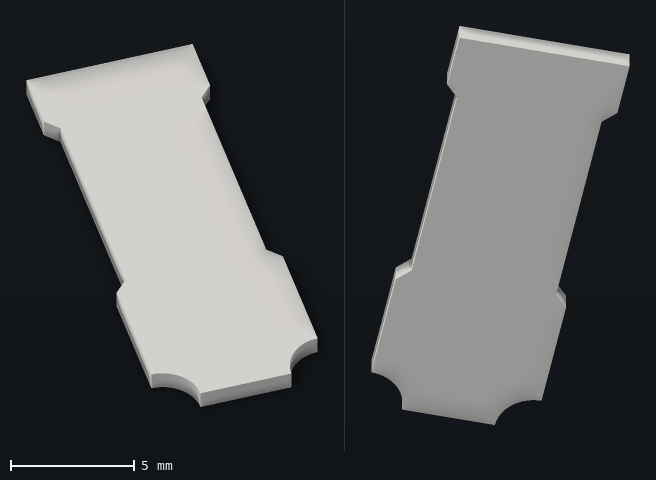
import cadquery as cq

length = 19.0
width = 7.05
thickness = 0.8

recess_start = 2.43
recess_end = 12.55
recess_depth = 0.53
slope_run = 0.57

notch_radius = 1.6


def side_recess(side):
    """Cutter for the recess on one long side; side is +1 for +Y, -1 for -Y."""
    edge_y = side * width / 2
    floor_y = side * (width / 2 - recess_depth)
    return (
        cq.Workplane("XY")
        .moveTo(recess_start, edge_y)
        .lineTo(recess_start + slope_run, floor_y)
        .lineTo(recess_end - slope_run, floor_y)
        .lineTo(recess_end, edge_y)
        .close()
        .extrude(thickness)
    )


def corner_notch(side):
    """Cylindrical cutter centred on one +X corner of the plate."""
    return (
        cq.Workplane("XY")
        .center(length, side * width / 2)
        .circle(notch_radius)
        .extrude(thickness)
    )


result = cq.Workplane("XY").box(length, width, thickness, centered=(False, True, False))
for side in (1, -1):
    result = result.cut(side_recess(side)).cut(corner_notch(side))